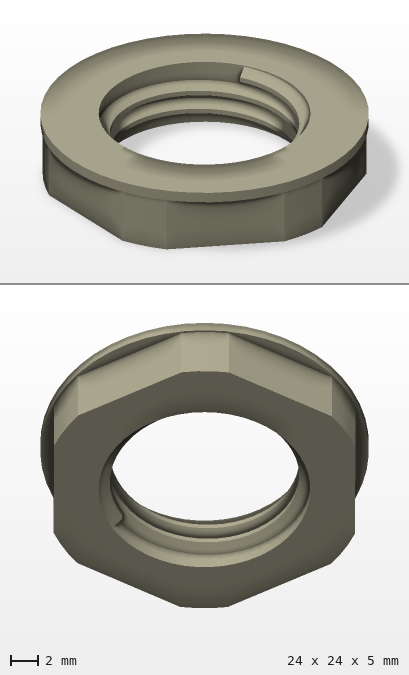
import cadquery as cq
import math

flange_diameter = 24.0
total_height = 5.0
flange_thickness = 0.8

hex_across_flats = 22.0
hex_corner_diameter = 23.66

thread_minor_diameter = 13.85
thread_pitch = 1.5
thread_turns = 2 + 1 / 3
flank_angle = 30.0
crest_width = thread_pitch / 4
ridge_base_width = thread_pitch * 7 / 8
ridge_height = (ridge_base_width - crest_width) / 2 / math.tan(math.radians(flank_angle))
bore_radius = thread_minor_diameter / 2 + ridge_height
ridge_embed = 0.07


def make_body():
    """Hexagon with rounded corners below a round flange, with a plain bore."""
    body_height = total_height - flange_thickness
    hex_width_over_corners = hex_across_flats / math.cos(math.radians(30))
    hexagon = cq.Workplane("XY").polygon(6, hex_width_over_corners).extrude(body_height)
    corner_cylinder = cq.Workplane("XY").circle(hex_corner_diameter / 2).extrude(body_height)
    flange = (
        cq.Workplane("XY")
        .workplane(offset=body_height)
        .circle(flange_diameter / 2)
        .extrude(flange_thickness)
    )
    bore = cq.Workplane("XY").circle(bore_radius).extrude(total_height)
    return hexagon.intersect(corner_cylinder).union(flange).cut(bore)


def make_thread_ridge():
    """Trapezoidal ridge, centred in the height, starting on the +X axis."""
    rise = thread_pitch * thread_turns
    start_height = (total_height - rise) / 2
    embedded_radius = bore_radius + ridge_embed
    embedded_width = ridge_base_width + 2 * ridge_embed * math.tan(math.radians(flank_angle))
    crest_radius = bore_radius - ridge_height
    helix = cq.Wire.makeHelix(thread_pitch, rise, bore_radius).translate(cq.Vector(0, 0, start_height))
    profile = cq.Workplane("XZ").polyline([
        (crest_radius, start_height - crest_width / 2),
        (embedded_radius, start_height - embedded_width / 2),
        (embedded_radius, start_height + embedded_width / 2),
        (crest_radius, start_height + crest_width / 2),
    ]).close()
    return profile.sweep(cq.Workplane(helix), isFrenet=True)


result = make_body().union(make_thread_ridge())